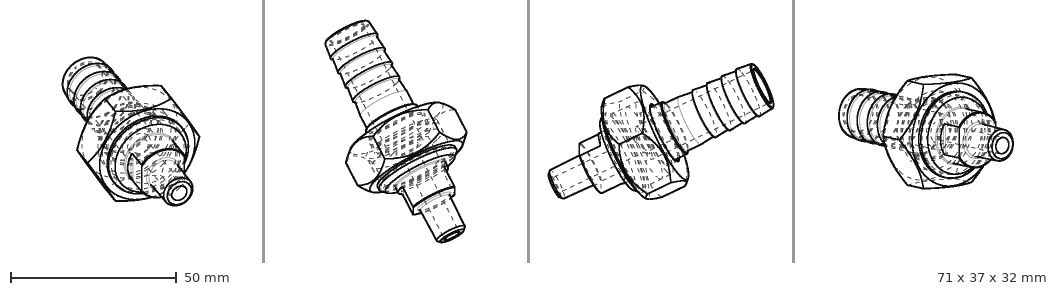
import cadquery as cq
import math

OVERALL_LENGTH = 71.0

BARB_COUNT = 5
BARB_PITCH = 5.0
BARB_CREST_RADIUS = 16.0 / 2
BARB_DEPTH = 0.5
BARB_ROOT_FILLET = 0.4
TAIL_TIP_CHAMFER = 0.3
TAIL_BORE_RADIUS = 11.0 / 2
TAIL_BORE_CHAMFER = 0.3
COLLAR_X = 29.8
COLLAR_RADIUS = 17.5 / 2
COLLAR_CHAMFER = 0.3
COLLAR_ROOT_FILLET = 0.35

NUT_X = 33.45
NUT_LENGTH = 13.4
NUT_ACROSS_FLATS = 32.0
NUT_FACE_DIAMETER = 31.45
NUT_WALL = 3.55
NUT_HOLE_RADIUS = 18.5 / 2
NUT_HOLE_CHAMFER = 0.35
NUT_BORE_RADIUS = 24.15 / 2

SHOULDER_LENGTH = 3.55
FLANGE_LENGTH = 2.55
FLANGE_RADIUS = 26.4 / 2
FLANGE_RIM_LENGTH = 1.0
FLANGE_FACE_RADIUS = 23.5 / 2
SPIGOT_RADIUS = 17.0 / 2
SPIGOT_END_X = 58.85
SPIGOT_ROOT_FILLET = 0.35
SPIGOT_END_CHAMFER = 0.2
FLAT_START_X = 51.55
FLAT_HALF_WIDTH = 7.0
FLAT_FILLET = 0.4
PIN_ROOT_RADIUS = 5.05
PIN_TIP_RADIUS = 4.8
PIN_ROOT_FILLET = 0.6
PIN_TIP_CHAMFER = 0.85
ADAPTER_BORE_RADIUS = 5.0 / 2
COUNTERSINK_RADIUS = 3.75

NUT_END_X = NUT_X + NUT_LENGTH
SHOULDER_X = NUT_X + NUT_WALL
JOINT_X = SHOULDER_X + SHOULDER_LENGTH
FLANGE_END_X = NUT_END_X + FLANGE_LENGTH


def revolve_about_x(outline):
    """Close an outline drawn as (x, radius) and turn it about the X axis."""
    return outline.close().revolve(360, (0, 0, 0), (1, 0, 0))


def add_fillet_down(outline, wall_x, floor_radius, size):
    """Run down a wall and round off onto the floor on its +X side."""
    offset = size * (1 - math.sqrt(0.5))
    middle = (wall_x + offset, floor_radius + offset)
    return (
        outline.lineTo(wall_x, floor_radius + size)
        .threePointArc(middle, (wall_x + size, floor_radius))
    )


def add_fillet_up(outline, wall_x, floor_radius, size):
    """Run along a floor and round off onto the wall at its +X end."""
    offset = size * (1 - math.sqrt(0.5))
    middle = (wall_x - offset, floor_radius + offset)
    return (
        outline.lineTo(wall_x - size, floor_radius)
        .threePointArc(middle, (wall_x, floor_radius + size))
    )


def build_hose_tail():
    valley_radius = BARB_CREST_RADIUS - BARB_DEPTH
    outline = (
        cq.Workplane("XY")
        .moveTo(0, TAIL_BORE_RADIUS + TAIL_BORE_CHAMFER)
        .lineTo(0, valley_radius - TAIL_TIP_CHAMFER)
        .lineTo(TAIL_TIP_CHAMFER, valley_radius)
    )
    for barb in range(1, BARB_COUNT):
        crest_x = barb * BARB_PITCH
        outline = outline.lineTo(crest_x, BARB_CREST_RADIUS)
        outline = add_fillet_down(outline, crest_x, valley_radius, BARB_ROOT_FILLET)
    outline = outline.lineTo(BARB_COUNT * BARB_PITCH, BARB_CREST_RADIUS)
    outline = add_fillet_up(outline, COLLAR_X, BARB_CREST_RADIUS, COLLAR_ROOT_FILLET)
    outline = (
        outline.lineTo(COLLAR_X, COLLAR_RADIUS - COLLAR_CHAMFER)
        .lineTo(COLLAR_X + COLLAR_CHAMFER, COLLAR_RADIUS)
        .lineTo(SHOULDER_X, COLLAR_RADIUS)
        .lineTo(SHOULDER_X, NUT_BORE_RADIUS)
        .lineTo(JOINT_X, NUT_BORE_RADIUS)
        .lineTo(JOINT_X, TAIL_BORE_RADIUS)
        .lineTo(TAIL_BORE_CHAMFER, TAIL_BORE_RADIUS)
    )
    return revolve_about_x(outline)


def build_nut():
    corner_diameter = NUT_ACROSS_FLATS / math.cos(math.pi / 6)
    corner_chamfer = (corner_diameter - NUT_FACE_DIAMETER) / 2
    hexagon = cq.Workplane("YZ", origin=(NUT_X, 0, 0)).polygon(6, corner_diameter).extrude(NUT_LENGTH)
    blank = (
        cq.Workplane("YZ", origin=(NUT_X, 0, 0))
        .circle(corner_diameter / 2)
        .extrude(NUT_LENGTH)
        .faces("<X or >X")
        .chamfer(corner_chamfer)
    )
    opening = revolve_about_x(
        cq.Workplane("XY")
        .moveTo(NUT_X, 0)
        .lineTo(NUT_X, NUT_HOLE_RADIUS + NUT_HOLE_CHAMFER)
        .lineTo(NUT_X + NUT_HOLE_CHAMFER, NUT_HOLE_RADIUS)
        .lineTo(SHOULDER_X, NUT_HOLE_RADIUS)
        .lineTo(SHOULDER_X, NUT_BORE_RADIUS)
        .lineTo(NUT_END_X, NUT_BORE_RADIUS)
        .lineTo(NUT_END_X, 0)
    )
    return hexagon.intersect(blank).cut(opening)


def build_flat_cutter():
    """Block beside the spigot, rounded along the inner edge of its end wall."""
    block_size = 2 * SPIGOT_RADIUS
    return (
        cq.Workplane("XY")
        .box(SPIGOT_END_X - FLAT_START_X, block_size, block_size, centered=(False, False, True))
        .translate((FLAT_START_X, FLAT_HALF_WIDTH, 0))
        .edges("<X and <Y")
        .fillet(FLAT_FILLET)
    )


def build_adapter():
    countersink_depth = COUNTERSINK_RADIUS - ADAPTER_BORE_RADIUS
    outline = (
        cq.Workplane("XY")
        .moveTo(JOINT_X, COUNTERSINK_RADIUS)
        .lineTo(JOINT_X, NUT_BORE_RADIUS)
        .lineTo(NUT_END_X, NUT_BORE_RADIUS)
        .lineTo(NUT_END_X, FLANGE_RADIUS)
        .lineTo(NUT_END_X + FLANGE_RIM_LENGTH, FLANGE_RADIUS)
        .lineTo(FLANGE_END_X, FLANGE_FACE_RADIUS)
    )
    outline = add_fillet_down(outline, FLANGE_END_X, SPIGOT_RADIUS, SPIGOT_ROOT_FILLET)
    outline = (
        outline.lineTo(SPIGOT_END_X - SPIGOT_END_CHAMFER, SPIGOT_RADIUS)
        .lineTo(SPIGOT_END_X, SPIGOT_RADIUS - SPIGOT_END_CHAMFER)
    )
    outline = add_fillet_down(outline, SPIGOT_END_X, PIN_ROOT_RADIUS, PIN_ROOT_FILLET)
    outline = (
        outline.lineTo(OVERALL_LENGTH - PIN_TIP_CHAMFER, PIN_TIP_RADIUS)
        .lineTo(OVERALL_LENGTH, PIN_TIP_RADIUS - PIN_TIP_CHAMFER)
        .lineTo(OVERALL_LENGTH, ADAPTER_BORE_RADIUS)
        .lineTo(JOINT_X + countersink_depth, ADAPTER_BORE_RADIUS)
    )
    flat = build_flat_cutter()
    return revolve_about_x(outline).cut(flat).cut(flat.mirror("XZ"))


hose_tail = build_hose_tail()
nut = build_nut()
adapter = build_adapter()

result = cq.Compound.makeCompound([hose_tail.val(), nut.val(), adapter.val()])